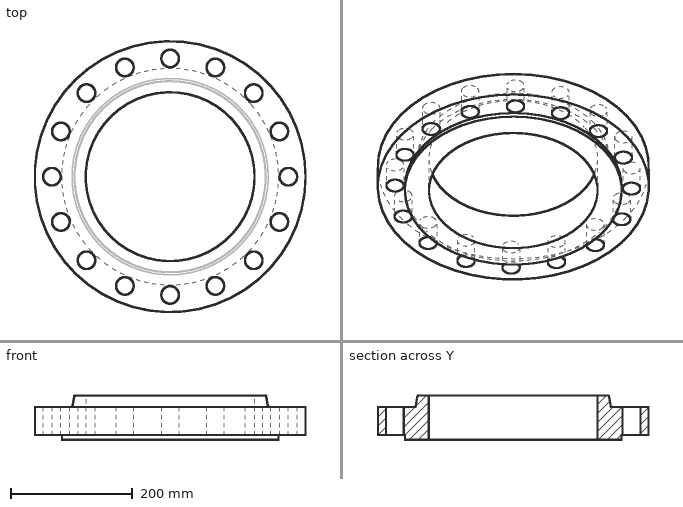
import cadquery as cq

flange_diameter = 444.5
flange_thickness = 46.0
bore_diameter = 276.5

face_diameter = 355.5
face_height = 8.0

hub_base_diameter = 321.5
hub_top_diameter = 314.5
hub_height = 18.5
hub_root_fillet = 1.0
hub_top_fillet = 1.8

bolt_count = 16
bolt_circle_diameter = 387.5
bolt_hole_diameter = 28.5

bore_radius = bore_diameter / 2
face_radius = face_diameter / 2
flange_radius = flange_diameter / 2
flange_top = face_height + flange_thickness
hub_top = flange_top + hub_height


def turned_body():
    """Raised face, flange and hub revolved about Z as one ring."""
    profile = (
        cq.Workplane("XZ")
        .moveTo(bore_radius, 0)
        .lineTo(face_radius, 0)
        .lineTo(face_radius, face_height)
        .lineTo(flange_radius, face_height)
        .lineTo(flange_radius, flange_top)
        .lineTo(hub_base_diameter / 2, flange_top)
        .lineTo(hub_top_diameter / 2, hub_top)
        .lineTo(bore_radius, hub_top)
        .close()
    )
    axis_start = (0, 0)
    axis_end = (0, 1)
    return profile.revolve(360, axis_start, axis_end)


def round_hub(body):
    """Round the hub's outer top edge and the corner where it meets the flange."""
    smallest_circle = cq.selectors.RadiusNthSelector(0)
    largest_circle = cq.selectors.RadiusNthSelector(-1)
    body = body.faces(">Z").edges(largest_circle).fillet(hub_top_fillet)
    flange_top_face = body.faces("|Z").faces(">Z[-2]")
    return flange_top_face.edges(smallest_circle).fillet(hub_root_fillet)


def bolt_holes():
    """Through-hole cylinders on the bolt circle, the first one on +X."""
    return (
        cq.Workplane("XY")
        .polarArray(bolt_circle_diameter / 2, 0, 360, bolt_count)
        .circle(bolt_hole_diameter / 2)
        .extrude(hub_top)
    )


result = round_hub(turned_body()).cut(bolt_holes())